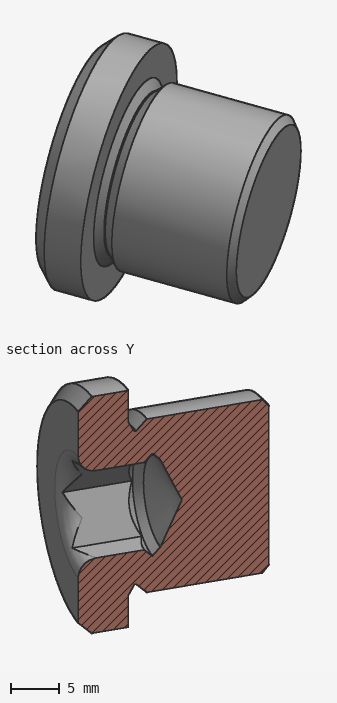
import cadquery as cq
import math

total_length = 20.8
flange_radius = 13.65
flange_thickness = 5.5
flange_chamfer = 1.47
shank_diameter = 20.0
shank_radius = shank_diameter / 2
end_chamfer_length = 0.75
end_chamfer_depth = 0.85

undercut_width = 2.0
undercut_depth = 1.17
flange_side_angle = 30.0
flange_side_length = undercut_depth * math.tan(math.radians(flange_side_angle))

socket_flats = 10.0
socket_inner_radius = socket_flats / 2
socket_corner_radius = socket_inner_radius / math.cos(math.radians(30))
socket_depth = 7.2
mouth_rounding = 2.0

relief_radius = 5.87
relief_flare = relief_radius - socket_inner_radius
relief_apex_depth = socket_depth + relief_flare
bottom_rim_depth = relief_apex_depth + relief_flare
bottom_point_angle = 130.0
bottom_cone_height = socket_inner_radius / math.tan(math.radians(bottom_point_angle / 2))
bottom_point_depth = bottom_rim_depth + bottom_cone_height


def make_body():
    """Revolve the flange, undercut and shank about the X axis."""
    groove_start = flange_thickness + flange_side_length
    groove_radius = shank_radius - undercut_depth
    shank_start = flange_thickness + undercut_width
    profile = (
        cq.Workplane("XY")
        .polyline([
            (0, 0),
            (0, flange_radius - flange_chamfer),
            (flange_chamfer, flange_radius),
            (flange_thickness, flange_radius),
            (flange_thickness, shank_radius),
            (groove_start, groove_radius),
            (shank_start - undercut_depth, groove_radius),
            (shank_start, shank_radius),
            (total_length - end_chamfer_length, shank_radius),
            (total_length, shank_radius - end_chamfer_depth),
            (total_length, 0),
        ])
        .close()
    )
    return profile.revolve(360, (0, 0, 0), (1, 0, 0))


def make_hexagon():
    """Hexagonal prism with corners on the Y axis, ending inside the relief groove."""
    return cq.Workplane("YZ").polygon(6, 2 * socket_corner_radius).extrude(relief_apex_depth)


def make_relief():
    """Round groove behind the hexagon together with the conical bottom."""
    profile = (
        cq.Workplane("XY")
        .polyline([
            (socket_depth, 0),
            (socket_depth, socket_inner_radius),
            (relief_apex_depth, relief_radius),
            (bottom_rim_depth, socket_inner_radius),
            (bottom_point_depth, 0),
        ])
        .close()
    )
    return profile.revolve(360, (0, 0, 0), (1, 0, 0))


def make_mouth():
    """Flared opening, rounded tangent to the flange face and to the hexagon flats."""
    arc_middle = mouth_rounding * (1 - math.sqrt(0.5))
    profile = (
        cq.Workplane("XY")
        .moveTo(0, 0)
        .lineTo(0, socket_inner_radius + mouth_rounding)
        .threePointArc(
            (arc_middle, socket_inner_radius + arc_middle),
            (mouth_rounding, socket_inner_radius),
        )
        .lineTo(mouth_rounding, 0)
        .close()
    )
    return profile.revolve(360, (0, 0, 0), (1, 0, 0))


result = make_body().cut(make_hexagon()).cut(make_relief()).cut(make_mouth())